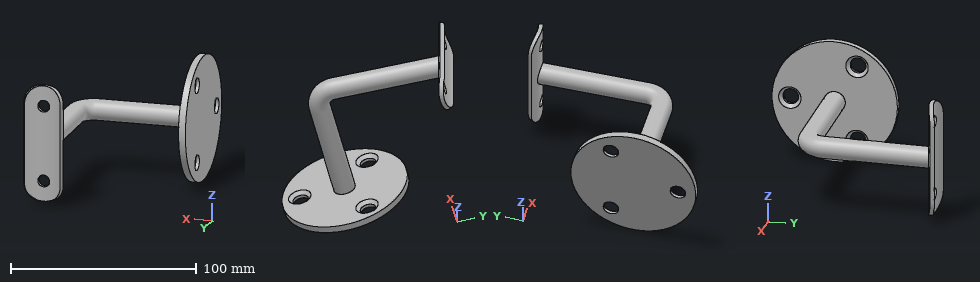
import cadquery as cq
import math

plate_diameter = 70.0
plate_thickness = 3.9
plate_hole_diameter = 8.5
plate_sink_diameter = 12.5
plate_sink_angle = 90
plate_hole_circle_radius = 25.0
plate_hole_count = 3
first_plate_hole_angle = 180

rod_diameter = 11.9
bend_radius = 10.0
rod_reach = 68.9

overall_depth = 109.5
saddle_inner_radius = 21.2
saddle_thickness = 2.5
saddle_half_angle = math.radians(28.2)
saddle_height = 64.9
saddle_corner_radius = 10.0
saddle_hole_diameter = 6.5
saddle_hole_spacing = 42.0

saddle_outer_radius = saddle_inner_radius + saddle_thickness
saddle_tip_y = overall_depth - plate_diameter / 2
saddle_axis_y = saddle_tip_y + saddle_inner_radius * math.cos(saddle_half_angle)
saddle_mid_y = saddle_axis_y - saddle_inner_radius - saddle_thickness / 2


def make_plate():
    disc = cq.Workplane("YZ").circle(plate_diameter / 2).extrude(plate_thickness)
    return (
        disc.faces(">X")
        .workplane(origin=(plate_thickness, 0, 0))
        .polarArray(plate_hole_circle_radius, first_plate_hole_angle, 360, plate_hole_count)
        .cskHole(plate_hole_diameter, plate_sink_diameter, plate_sink_angle)
    )


def make_rod():
    bend_start_x = rod_reach - bend_radius
    bend_offset = bend_radius * math.sin(math.pi / 4)
    path = (
        cq.Workplane("XY")
        .moveTo(plate_thickness, 0)
        .lineTo(bend_start_x, 0)
        .threePointArc(
            (bend_start_x + bend_offset, bend_radius - bend_offset),
            (rod_reach, bend_radius),
        )
        .lineTo(rod_reach, saddle_mid_y)
    )
    rod = (
        cq.Workplane("YZ", origin=(plate_thickness, 0, 0))
        .circle(rod_diameter / 2)
        .sweep(path)
    )
    saddle_bore = (
        cq.Workplane("XY")
        .center(rod_reach, saddle_axis_y)
        .circle(saddle_outer_radius)
        .extrude(rod_diameter, both=True)
    )
    return rod.cut(saddle_bore)


def saddle_point(radius, angle):
    """Point at an angle from the saddle's centre plane, about its axis."""
    return (rod_reach + radius * math.sin(angle), saddle_axis_y - radius * math.cos(angle))


def make_saddle():
    saddle = (
        cq.Workplane("XY")
        .moveTo(*saddle_point(saddle_inner_radius, -saddle_half_angle))
        .threePointArc(
            saddle_point(saddle_inner_radius, 0),
            saddle_point(saddle_inner_radius, saddle_half_angle),
        )
        .lineTo(*saddle_point(saddle_outer_radius, saddle_half_angle))
        .threePointArc(
            saddle_point(saddle_outer_radius, 0),
            saddle_point(saddle_outer_radius, -saddle_half_angle),
        )
        .close()
        .extrude(saddle_height / 2, both=True)
    )
    saddle = saddle.faces("<Z or >Z").edges("%LINE").fillet(saddle_corner_radius)
    holes = (
        cq.Workplane("XZ", origin=(rod_reach, saddle_mid_y, 0))
        .rarray(1.1, saddle_hole_spacing, 1, 2)
        .circle(saddle_hole_diameter / 2)
        .extrude(saddle_thickness, both=True)
    )
    return saddle.cut(holes)


result = make_plate().union(make_rod()).union(make_saddle())